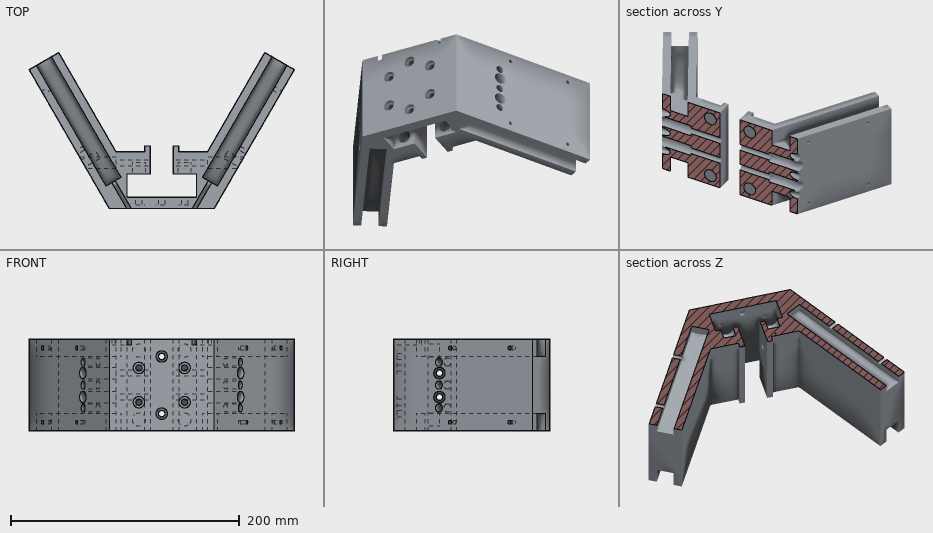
import cadquery as cq
import math

HALF_WIDTH = 116.08
DEPTH = 136.6
HEIGHT = 80.2
TOP_Z = HEIGHT / 2

ARM_ANGLE = math.radians(30)
ARM_THICKNESS = 30
SIN = math.sin(ARM_ANGLE)
COS = math.cos(ARM_ANGLE)
ARM_LENGTH = (DEPTH - ARM_THICKNESS * SIN) / COS
BASE_HALF = HALF_WIDTH - ARM_LENGTH * SIN

PLATE_THICKNESS = 10
CAVITY_HALF = 30.2
BLOCK_FRONT_Y = 30.2
BLOCK_BACK_Y = 50
GAP_HALF = 10
LIP_WIDTH = 5
LIP_HEIGHT = 5

CHANNEL_SIZE = 15.2
CHANNEL_LENGTH = 121.8
CHANNEL_OFFSET = ARM_THICKNESS / 2
GROOVE_WIDTH = 3.5
GROOVE_DEPTH = 5

SCREW_DIAMETER = 5.5
HEAD_DIAMETER = 10
HEAD_DEPTH = 3
CENTRE_SCREW_Z = 25
SIDE_SCREW_X = 20
SIDE_SCREW_Z = 15

CROSS_SCREW_Y = 40
CROSS_SCREW_Z = 10.5
CROSS_HEAD_SEAT_X = 40

SOCKET_DIAMETER = 11.5
SOCKET_DEPTH = 10
SOCKET_Z = 30.2

DOWEL_DIAMETER = 7
DOWEL_DISTANCE = 45.7
DOWEL_PITCH = 20
DOWEL_DEPTH = 15
SET_SCREW_DIAMETER = 3.4
SET_SCREW_DISTANCES = (57, 117)
SET_SCREW_Z = TOP_Z - CHANNEL_SIZE / 2
SET_SCREW_DEPTH = (ARM_THICKNESS - CHANNEL_SIZE) / 2


def arm_point(along, inward):
    """XY point on the right arm, from its base corner along and into the outer face."""
    x = BASE_HALF + along * SIN - inward * COS
    y = along * COS + inward * SIN
    return (x, y)


def mirrored(shape):
    """The shape together with its reflection across X = 0."""
    return shape.union(shape.mirror("YZ"))


def prism(points, bottom, top):
    return cq.Workplane("XY").workplane(offset=bottom).polyline(points).close().extrude(top - bottom)


def arm_strip(start, end, centre, width, bottom, top):
    """Bar lying along the right arm, centred at the given depth below the outer face."""
    near = centre - width / 2
    far = centre + width / 2
    corners = [arm_point(start, near), arm_point(end, near), arm_point(end, far), arm_point(start, far)]
    return prism(corners, bottom, top)


def cylinder(diameter, length, start, direction):
    return cq.Workplane(cq.Solid.makeCylinder(diameter / 2, length, cq.Vector(*start), cq.Vector(*direction)))


def body():
    inner_corner_x = BASE_HALF + BLOCK_BACK_Y * math.tan(ARM_ANGLE) - ARM_THICKNESS / COS
    lip_x = GAP_HALF + LIP_WIDTH
    lip_y = BLOCK_BACK_Y + LIP_HEIGHT
    half_outline = [
        (0, 0),
        (BASE_HALF, 0),
        arm_point(ARM_LENGTH, 0),
        arm_point(ARM_LENGTH, ARM_THICKNESS),
        (inner_corner_x, BLOCK_BACK_Y),
        (lip_x, BLOCK_BACK_Y),
        (lip_x, lip_y),
        (GAP_HALF, lip_y),
        (GAP_HALF, BLOCK_FRONT_Y),
        (CAVITY_HALF, BLOCK_FRONT_Y),
        (CAVITY_HALF, PLATE_THICKNESS),
        (0, PLATE_THICKNESS),
    ]
    return mirrored(prism(half_outline, -TOP_Z, TOP_Z))


def channels():
    start = ARM_LENGTH - CHANNEL_LENGTH
    floor = TOP_Z - CHANNEL_SIZE
    upper = arm_strip(start, ARM_LENGTH, CHANNEL_OFFSET, CHANNEL_SIZE, floor, TOP_Z)
    lower = arm_strip(start, ARM_LENGTH, CHANNEL_OFFSET, CHANNEL_SIZE, -TOP_Z, -floor)
    return mirrored(upper.union(lower))


def grooves():
    overrun = CHANNEL_OFFSET
    end = ARM_LENGTH - CHANNEL_LENGTH
    return mirrored(arm_strip(-overrun, end, CHANNEL_OFFSET, GROOVE_WIDTH, TOP_Z - GROOVE_DEPTH, TOP_Z))


def plate_screw(x, z):
    shank = cylinder(SCREW_DIAMETER, PLATE_THICKNESS, (x, 0, z), (0, 1, 0))
    return shank.union(cylinder(HEAD_DIAMETER, HEAD_DEPTH, (x, 0, z), (0, 1, 0)))


def block_socket(z):
    return mirrored(cylinder(SOCKET_DIAMETER, SOCKET_DEPTH, (SIDE_SCREW_X, BLOCK_FRONT_Y, z), (0, 1, 0)))


def cross_screw(z):
    shank = cylinder(SCREW_DIAMETER, HALF_WIDTH, (0, CROSS_SCREW_Y, z), (1, 0, 0))
    head = cylinder(HEAD_DIAMETER, HALF_WIDTH, (CROSS_HEAD_SEAT_X, CROSS_SCREW_Y, z), (1, 0, 0))
    return mirrored(shank.union(head))


def arm_hole(diameter, distance, z, depth):
    x, y = arm_point(distance, 0)
    return mirrored(cylinder(diameter, depth, (x, y, z), (-COS, SIN, 0)))


result = body().cut(channels()).cut(grooves())

for side in (-1, 1):
    result = result.cut(plate_screw(0, side * CENTRE_SCREW_Z))
    result = result.cut(mirrored(plate_screw(SIDE_SCREW_X, side * SIDE_SCREW_Z)))
    result = result.cut(block_socket(side * SOCKET_Z))
    result = result.cut(cross_screw(side * CROSS_SCREW_Z))
    for distance in SET_SCREW_DISTANCES:
        result = result.cut(arm_hole(SET_SCREW_DIAMETER, distance, side * SET_SCREW_Z, SET_SCREW_DEPTH))

for step in (-1, 0, 1):
    result = result.cut(arm_hole(DOWEL_DIAMETER, DOWEL_DISTANCE, step * DOWEL_PITCH, DOWEL_DEPTH))